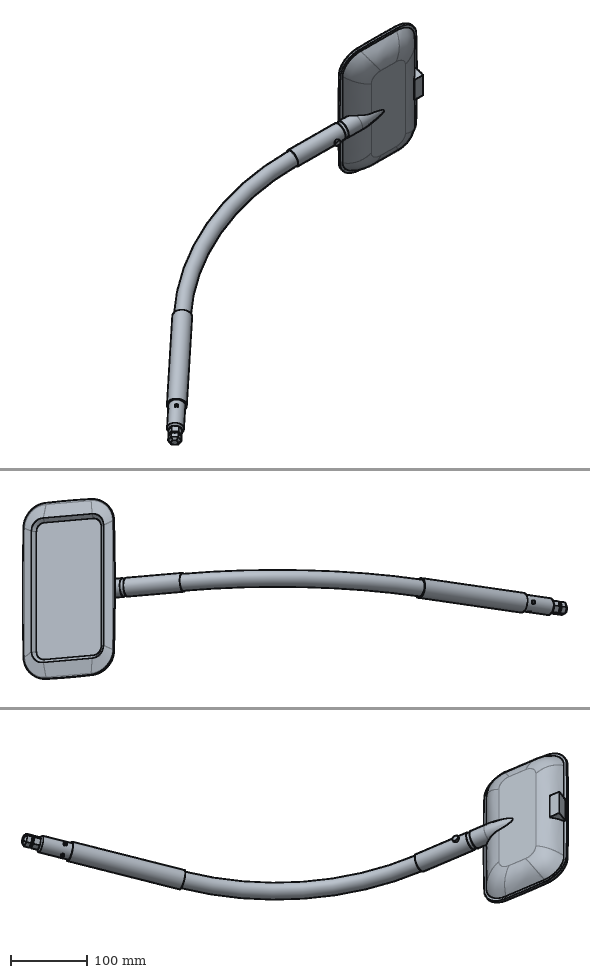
import cadquery as cq
import math


head_width = 127.0
head_height = 238.0
head_corner = 32.0
side_bow = 2.0
bezel_depth = 3.0
bezel_step = 2.5
rim_depth = 7.0
shell_depth = 28.0
shell_inset = 4.5
shell_round_in = 31.0
shell_start_angle = 30
shell_sections = 5
shell_corner = 29.5
shell_back_corner = 15.5

window_width = 100.0
window_height = 195.0
window_corner = 16.0
window_wall = 5.0

lug_bottom = 47.0
lug_top = 61.0
lug_depth = 23.0
lug_half_height = 20.0
lug_overlap = 2.0

arm_x = 21.0
tube_radius = 11.3
socket_radius = 12.6
socket_tip_y = -6.5
socket_shoulder_y = -47.0
socket_tip_radius = 6.5
socket_end_y = -69.0
groove_width = 5.0
groove_depth = 0.95
upper_sleeve_end_y = -152.0
bend_radius = 369.0
bend_angle = 50
lower_sleeve_radius = 13.2
lower_sleeve_length = 155.5

button_y = -89.0
button_radius = 4.5
button_height = 2.5

stem_length = 43.0
stem_chamfer = 2.5
dimple_distance = 10.0
dimple_radius = 2.5
dimple_depth = 2.0
dimple_count = 4
plug_sides = 6
plug_flats = 15.5
plug_length = 22.0
plug_chamfer = 3.0
plug_groove_start = 9.0
plug_groove_width = 2.5
plug_groove_radius = 6.1

plug_corners = plug_flats / math.cos(math.pi / plug_sides)


def rounded_plate(x, width, height, corner):
    """Rounded rectangle facing +X, its width along Y and its height along Z."""
    outline = cq.Sketch().rect(width, height).vertices().fillet(corner)
    return outline.moved(cq.Location(cq.Vector(0, 0, x)))


def make_rim():
    y_side = head_width / 2
    z_side = head_height / 2
    y_corner = y_side - side_bow
    z_corner = z_side - side_bow
    rim = (
        cq.Workplane("YZ", origin=(bezel_depth, 0, 0))
        .moveTo(-y_corner, -z_corner)
        .threePointArc((0, -z_side), (y_corner, -z_corner))
        .threePointArc((y_side, 0), (y_corner, z_corner))
        .threePointArc((0, z_side), (-y_corner, z_corner))
        .threePointArc((-y_side, 0), (-y_corner, -z_corner))
        .close()
        .extrude(rim_depth - bezel_depth)
    )
    return rim.edges("|X").fillet(head_corner)


def make_bezel():
    """Sloped frame from the rim forward to the window opening."""
    foot = rounded_plate(
        bezel_depth, head_width - 2 * bezel_step, head_height - 2 * bezel_step, head_corner - bezel_step
    )
    opening = rounded_plate(0, window_width, window_height, window_corner)
    return cq.Workplane("YZ").placeSketch(opening, foot).loft()


def make_shell():
    """Back of the head: sections that close in along part of an ellipse."""
    start = math.radians(shell_start_angle)
    step = (math.pi / 2 - start) / (shell_sections - 1)
    sections = []
    for i in range(shell_sections):
        turn = start + i * step
        closing = 1 - math.cos(turn) / math.cos(start)
        rise = (math.sin(turn) - math.sin(start)) / (1 - math.sin(start))
        inset = shell_inset + shell_round_in * closing
        x = rim_depth + (shell_depth - rim_depth) * rise
        corner = shell_corner + (shell_back_corner - shell_corner) * closing
        sections.append(rounded_plate(x, head_width - 2 * inset, head_height - 2 * inset, corner))
    return cq.Workplane("YZ").placeSketch(*sections).loft()


def make_window():
    floor_width = window_width - 2 * window_wall
    floor_height = window_height - 2 * window_wall
    opening = rounded_plate(0, window_width, window_height, window_corner)
    floor = rounded_plate(window_wall, floor_width, floor_height, window_corner - window_wall)
    return cq.Workplane("YZ").placeSketch(opening, floor).loft()


def make_lug():
    lug_start = rim_depth - lug_overlap
    return (
        cq.Workplane("XY", origin=(lug_start, lug_bottom, 0))
        .box(lug_depth - lug_start, lug_top - lug_bottom, 2 * lug_half_height, centered=(False, False, True))
    )


def make_upper_arm():
    """Socket with a tapered tip, groove and sleeve, turned about the straight part of the arm."""
    groove_radius = socket_radius - groove_depth
    groove_end_y = socket_end_y - groove_width
    return (
        cq.Workplane("XY")
        .moveTo(0, upper_sleeve_end_y)
        .lineTo(socket_radius, upper_sleeve_end_y)
        .lineTo(socket_radius, groove_end_y)
        .lineTo(groove_radius, groove_end_y)
        .lineTo(groove_radius, socket_end_y)
        .lineTo(socket_radius, socket_end_y)
        .lineTo(socket_radius, socket_shoulder_y)
        .tangentArcPoint((socket_tip_radius, socket_tip_y), relative=False)
        .lineTo(0, socket_tip_y)
        .close()
        .revolve(360, (0, 0, 0), (0, 1, 0))
        .translate((arm_x, 0, 0))
    )


def make_button():
    return (
        cq.Workplane("YZ", origin=(arm_x, button_y, 0))
        .circle(button_radius)
        .extrude(socket_radius + button_height)
    )


def make_bend():
    return (
        cq.Workplane("XZ", origin=(arm_x, upper_sleeve_end_y, 0))
        .circle(tube_radius)
        .revolve(bend_angle, (bend_radius, -6.5, 0), (bend_radius, 6.5, 0))
    )


def make_lower_arm():
    """Sleeve, stem and plug built along +X from the origin, then moved to the end of the bend."""
    plug_start = lower_sleeve_length + stem_length
    along = cq.Workplane("YZ")
    sleeve = along.circle(lower_sleeve_radius).extrude(lower_sleeve_length)
    stem = along.circle(tube_radius).extrude(plug_start).faces(">X").chamfer(stem_chamfer)

    dimple = (
        cq.Workplane("XY", origin=(lower_sleeve_length + dimple_distance, 0, tube_radius - dimple_depth))
        .circle(dimple_radius)
        .extrude(tube_radius)
    )
    for i in range(dimple_count):
        stem = stem.cut(dimple.rotate((0, 0, 0), (1, 0, 0), 360 * i / dimple_count))

    plug = (
        along.workplane(offset=plug_start)
        .polygon(plug_sides, plug_corners)
        .extrude(plug_length)
        .faces(">X")
        .chamfer(plug_chamfer)
    )
    groove = (
        along.workplane(offset=plug_start + plug_groove_start)
        .circle(plug_corners)
        .circle(plug_groove_radius)
        .extrude(plug_groove_width)
    )
    plug = plug.cut(groove)

    bend = math.radians(bend_angle)
    bend_end = (
        arm_x + bend_radius * (1 - math.cos(bend)),
        upper_sleeve_end_y - bend_radius * math.sin(bend),
        0,
    )
    lower_arm = sleeve.union(stem).union(plug)
    return lower_arm.rotate((0, 0, 0), (0, 0, 1), bend_angle - 90).translate(bend_end)


result = (
    make_rim()
    .union(make_bezel())
    .union(make_shell())
    .union(make_lug())
    .union(make_upper_arm())
    .cut(make_window())
    .union(make_button())
    .union(make_bend())
    .union(make_lower_arm())
)